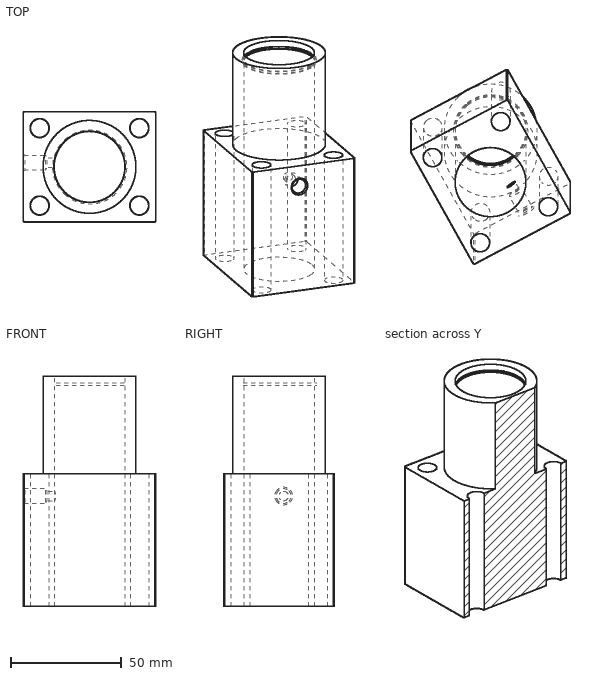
import math

import cadquery as cq

block_length = 60.0
block_width = 50.0
block_height = 60.0
vertical_edge_chamfer = 0.5

total_height = 104.0
tube_diameter = 42.0
bore_diameter = 32.0

groove_diameter = 33.5
groove_width = 1.1
groove_top_depth = 3.0

mounting_hole_diameter = 8.4
mounting_hole_spacing_x = 45.0
mounting_hole_spacing_y = 35.0

port_y = 2.0
port_depth_below_block_top = 10.0
port_mouth_diameter = 8.0
port_diameter = 6.65
port_pilot_diameter = 4.3
port_depth = 10.0
mouth_chamfer_depth = (port_mouth_diameter - port_diameter) / 2
drill_point_angle = 118.0
step_cone_depth = (port_diameter - port_pilot_diameter) / 2 / math.tan(math.radians(drill_point_angle / 2))


def make_body():
    block = (
        cq.Workplane("XY")
        .box(block_length, block_width, block_height, centered=(True, True, False))
        .edges("|Z")
        .chamfer(vertical_edge_chamfer)
    )
    tube = cq.Workplane("XY").circle(tube_diameter / 2).extrude(total_height)
    return block.union(tube)


def cut_bore(body):
    bore = cq.Workplane("XY").circle(bore_diameter / 2).extrude(total_height)
    groove_bottom = total_height - groove_top_depth - groove_width
    groove = (
        cq.Workplane("XY")
        .workplane(offset=groove_bottom)
        .circle(groove_diameter / 2)
        .extrude(groove_width)
    )
    return body.cut(bore).cut(groove)


def cut_mounting_holes(body):
    holes = (
        cq.Workplane("XY")
        .rect(mounting_hole_spacing_x, mounting_hole_spacing_y, forConstruction=True)
        .vertices()
        .circle(mounting_hole_diameter / 2)
        .extrude(block_height)
    )
    return body.cut(holes)


def cut_side_port(body):
    face_x = -block_length / 2
    cone_start_x = face_x + port_depth
    profile = (
        cq.Workplane("XY")
        .moveTo(face_x, 0)
        .lineTo(face_x, port_mouth_diameter / 2)
        .lineTo(face_x + mouth_chamfer_depth, port_diameter / 2)
        .lineTo(cone_start_x, port_diameter / 2)
        .lineTo(cone_start_x + step_cone_depth, port_pilot_diameter / 2)
        .lineTo(0, port_pilot_diameter / 2)
        .lineTo(0, 0)
        .close()
    )
    port = profile.revolve(360, (0, 0, 0), (1, 0, 0))
    port_z = block_height - port_depth_below_block_top
    return body.cut(port.translate((0, port_y, port_z)))


result = cut_side_port(cut_mounting_holes(cut_bore(make_body())))